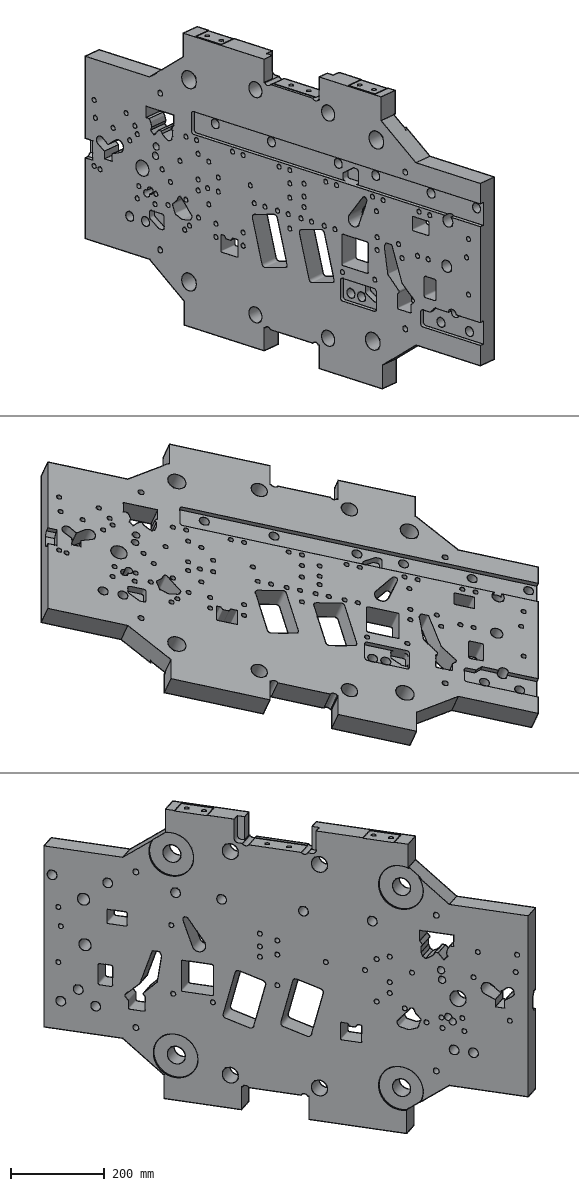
import cadquery as cq
import math

LENGTH = 1100.0
HEIGHT = 675.0
THICKNESS = 47.0
THROUGH = THICKNESS + 11.0
FRONT_Y = -THICKNESS / 2
BACK_Y = THICKNESS / 2
HALF_LENGTH = LENGTH / 2
HALF_HEIGHT = HEIGHT / 2

BODY_HALF_HEIGHT = 211.0
SHOULDER_X = 371.0
TAB_LEFT_X = -277.0
TAB_RIGHT_X = 274.0
TAB_ROOT_Z = 283.0

NOTCH_CENTER_X = 24.8
NOTCH_WIDTH = 153.0
NOTCH_FLOOR_Z = 284.0
RELIEF_RADIUS = 9.0
RELIEF_INSET = 10.0
RELIEF_RISE = 4.0
REBATE_WIDTH = 186.0
REBATE_DEPTH = 20.0
REBATE_FILLET = 9.0

PAD_DEPTH = 1.0
TAB_PAD_LIP = 4.0
NOTCH_PAD_LIP = 9.0
TAB_PADS = [(-245.0, -175.0), (179.0, 253.0)]
TAB_PAD_HOLE_INSET = 15.0
TAB_PAD_HOLE_SPACING = 40.0
NOTCH_PAD_HOLES_X = (0.0, 50.0)
NOTCH_PAD_HOLE_Y = 4.0
EDGE_HOLE_DIAMETER = 10.0
EDGE_HOLE_DEPTH = 22.0

CHANNEL_DEPTH = 10.0
CHANNEL_FILLET = 7.0
CHANNEL_LEFT_X = -254.0
CHANNEL_TOP_Z = 164.0
CHANNEL_BOTTOM_Z = 111.0
WEDGE_POCKET_DEPTH = 16.0
WEDGE_FILLET = 5.0

CORNER_HOLE_DIAMETER = 41.0
CORNER_SPOTFACE_DIAMETER = 101.0
CORNER_SPOTFACE_DEPTH = 4.0
TAB_HOLE_DIAMETER = 36.0
DOWEL_HOLE_DIAMETER = 28.0
BOLT_HOLE_DIAMETER = 22.0
MEDIUM_HOLE_DIAMETER = 16.0
BODY_HOLE_DIAMETER = 13.0
SMALL_HOLE_DIAMETER = 11.0
BLIND_HOLE_DEPTH = 22.0

CORNER_HOLES = [(-261.0, 234.0), (261.0, 234.0), (-261.0, -234.0), (251.0, -234.0)]
TAB_HOLES = [(x, z) for x in (-76.0, 126.0) for z in (-261.0, 261.0)]
BODY_HOLES = [(x, z) for x in (-341.0, 341.0) for z in (-182.0, 182.0)]
ROUND_WINDOW = [(-390.0, -5.0)]
DOWEL_HOLES = [(460.0, 100.0), (456.0, -5.0)]
BOLT_HOLES = [(x, 146.0) for x in (-196.0, -40.0, 146.0, 251.0, 405.0, 531.0)]
BOLT_HOLES += [(-426.0, -126.0), (-382.0, -126.0), (432.0, -145.0), (512.0, -145.0), (472.0, -112.0)]
MEDIUM_HOLES = [(-352.0, 55.0), (-354.0, 33.0), (-378.0, -60.0), (-368.0, -52.0)]
SMALL_THROUGH_HOLES = [
    (-525.0, 117.0), (-521.0, 76.0), (-436.0, 110.0), (-426.0, 50.0), (-508.0, -40.0),
    (-400.0, -50.0), (-405.0, -79.0), (-355.0, -79.0), (-353.0, -55.0), (-319.0, -72.0),
    (-286.0, 40.0), (-270.0, -46.0), (-235.0, 69.0), (-206.0, 59.0), (-235.0, 10.0),
    (-179.0, 30.0), (-235.0, -15.0), (-206.0, -40.0), (-90.0, 35.0),
    (20.0, 69.0), (20.0, 36.0), (20.0, -35.0), (59.0, 79.0), (59.0, 50.0), (59.0, 25.0),
    (261.0, 69.0), (256.0, -90.0), (166.0, -97.0), (517.0, 74.0), (512.0, 30.0), (517.0, -55.0),
]
SMALL_BLIND_HOLES = [
    (-411.0, 87.0), (-405.0, 69.0), (-472.0, 66.0), (-525.0, -36.0), (-335.0, 7.0),
    (-312.0, -16.0), (-260.0, -103.0), (-273.0, -117.0), (-234.0, -78.0),
    (-186.0, -79.0), (-186.0, -110.0), (-110.0, -79.0), (-110.0, -110.0),
    (263.0, 10.0), (263.0, -20.0), (322.0, 10.0), (332.0, -20.0),
]

PAIR_SPACING = 30.0
PAIR_PITCH = 130.0
UPPER_PAIRS_Z = 100.0
UPPER_PAIRS_START_X = -270.0
UPPER_PAIR_COUNT = 6
LOWER_PAIRS_Z = -3.0
LOWER_PAIRS_START_X = -209.0
LOWER_PAIR_STEPS = (0, 1, 1.5, 2, 2.5, 4.5)


def front_plane(depth=0.0):
    """Sketch plane parallel to the front face, the given depth behind it."""
    return cq.Workplane("XZ", origin=(0, FRONT_Y + depth, 0))


def front_polygon(points, depth, fillet=0.0, start_depth=0.0):
    """Straight-sided cutter sunk from the front, with rounded corners."""
    cutter = front_plane(start_depth).polyline(points).close().extrude(-depth)
    if fillet > 0:
        cutter = cutter.edges("|Y").fillet(fillet)
    return cutter


def front_rectangle(center, width, height, fillet, turn=0.0):
    """Through cutter with a rounded rectangular outline, turned about its center."""
    cutter = cq.Workplane("XY").box(width, THROUGH, height).edges("|Y").fillet(fillet)
    cutter = cutter.rotate((0, 0, 0), (0, 1, 0), -turn)
    return cutter.translate((center[0], 0, center[1]))


def front_holes(points, diameter, depth, start_depth=0.0):
    return front_plane(start_depth).pushPoints(points).circle(diameter / 2).extrude(-depth)


def tapered_slot(start, start_radius, end, end_radius):
    """Through cutter around two circles joined by their outer tangents."""
    dx = end[0] - start[0]
    dz = end[1] - start[1]
    heading = math.atan2(dz, dx)
    spread = math.acos((start_radius - end_radius) / math.hypot(dx, dz))

    def rim(center, radius, angle):
        return (center[0] + radius * math.cos(angle), center[1] + radius * math.sin(angle))

    left = heading + spread
    right = heading - spread
    return (
        front_plane()
        .moveTo(*rim(start, start_radius, left))
        .threePointArc(rim(start, start_radius, heading + math.pi), rim(start, start_radius, right))
        .lineTo(*rim(end, end_radius, right))
        .threePointArc(rim(end, end_radius, heading), rim(end, end_radius, left))
        .close()
        .extrude(-THROUGH)
    )


def box_between(x_range, y_range, z_range):
    size = [high - low for low, high in (x_range, y_range, z_range)]
    corner = [low for low, high in (x_range, y_range, z_range)]
    return cq.Workplane("XY").box(*size, centered=False).translate(tuple(corner))


def plate():
    upper_edge = [
        (-HALF_LENGTH, BODY_HALF_HEIGHT),
        (-SHOULDER_X, BODY_HALF_HEIGHT),
        (TAB_LEFT_X, TAB_ROOT_Z),
        (TAB_LEFT_X, HALF_HEIGHT),
        (TAB_RIGHT_X, HALF_HEIGHT),
        (TAB_RIGHT_X, TAB_ROOT_Z),
        (SHOULDER_X, BODY_HALF_HEIGHT),
        (HALF_LENGTH, BODY_HALF_HEIGHT),
    ]
    lower_edge = [(-x, -z) for x, z in upper_edge]
    return front_polygon(upper_edge + lower_edge, THICKNESS)


def notch():
    """Upper notch with round reliefs in its two floor corners."""
    half_width = NOTCH_WIDTH / 2
    left_x = NOTCH_CENTER_X - half_width
    right_x = NOTCH_CENTER_X + half_width
    cutter = box_between((left_x, right_x), (FRONT_Y, BACK_Y), (NOTCH_FLOOR_Z, HALF_HEIGHT))
    reliefs = [(x, NOTCH_FLOOR_Z + RELIEF_RISE) for x in (left_x + RELIEF_INSET, right_x - RELIEF_INSET)]
    return cutter.union(front_holes(reliefs, 2 * RELIEF_RADIUS, THICKNESS))


def notch_rebate():
    half_width = REBATE_WIDTH / 2
    cutter = box_between(
        (NOTCH_CENTER_X - half_width, NOTCH_CENTER_X + half_width),
        (BACK_Y - REBATE_DEPTH, BACK_Y),
        (NOTCH_FLOOR_Z, HALF_HEIGHT),
    )
    return cutter.edges("|Y and <Z").fillet(REBATE_FILLET)


def edge_pad(x_range, face_z, lip, holes_x, holes_y):
    """Shallow pad open to the back, with two blind holes going down."""
    pad = box_between(x_range, (FRONT_Y + lip, BACK_Y), (face_z - PAD_DEPTH, face_z))
    holes = (
        cq.Workplane("XY", origin=(0, 0, face_z))
        .pushPoints([(x, holes_y) for x in holes_x])
        .circle(EDGE_HOLE_DIAMETER / 2)
        .extrude(-EDGE_HOLE_DEPTH)
    )
    return pad.union(holes)


def edge_pads():
    half_width = NOTCH_WIDTH / 2 - RELIEF_INSET
    notch_range = (NOTCH_CENTER_X - half_width, NOTCH_CENTER_X + half_width)
    pads = edge_pad(notch_range, NOTCH_FLOOR_Z, NOTCH_PAD_LIP, NOTCH_PAD_HOLES_X, NOTCH_PAD_HOLE_Y)
    for x_range in TAB_PADS:
        first_hole = x_range[0] + TAB_PAD_HOLE_INSET
        holes_x = (first_hole, first_hole + TAB_PAD_HOLE_SPACING)
        pads = pads.union(edge_pad(x_range, HALF_HEIGHT, TAB_PAD_LIP, holes_x, 0.0))
    return pads


def long_channel():
    """Channel running out of the right end, with a wedge pocket in its floor."""
    channel = box_between(
        (CHANNEL_LEFT_X, HALF_LENGTH),
        (FRONT_Y, FRONT_Y + CHANNEL_DEPTH),
        (CHANNEL_BOTTOM_Z, CHANNEL_TOP_Z),
    ).edges("|Y and <X").fillet(CHANNEL_FILLET)
    wedge = [
        (160.0, CHANNEL_BOTTOM_Z), (160.0, 128.0), (188.0, 147.0),
        (202.0, 147.0), (202.0, CHANNEL_BOTTOM_Z),
    ]
    return channel.union(front_polygon(wedge, WEDGE_POCKET_DEPTH, WEDGE_FILLET, CHANNEL_DEPTH))


def short_channel():
    top_z = -111.0
    bottom_z = -164.0
    step_z = -124.0
    left_x = 384.0
    outline = [
        (left_x, bottom_z), (left_x, step_z), (410.0, step_z), (424.0, top_z),
        (HALF_LENGTH, top_z), (HALF_LENGTH, bottom_z),
    ]
    return front_polygon(outline, CHANNEL_DEPTH).edges("|Y and <X").fillet(CHANNEL_FILLET)


def stepped_pocket():
    """Rectangular pocket with a deeper wedge corner and two blind holes."""
    left_x, right_x = 161.0, 261.0
    top_z, bottom_z = -111.0, -164.0
    outline = [(left_x, top_z), (right_x, top_z), (right_x, bottom_z), (left_x, bottom_z)]
    wedge = [(222.0, top_z), (222.0, -133.0), (248.0, -147.0), (right_x, -147.0), (right_x, top_z)]
    holes = [(182.0, -145.0), (211.0, -145.0)]
    pocket = front_polygon(outline, CHANNEL_DEPTH, CHANNEL_FILLET)
    pocket = pocket.union(front_polygon(wedge, WEDGE_POCKET_DEPTH, WEDGE_FILLET, CHANNEL_DEPTH))
    return pocket.union(front_holes(holes, BOLT_HOLE_DIAMETER, BLIND_HOLE_DEPTH, CHANNEL_DEPTH))


def left_wedge_pocket():
    outline = [(-371.0, -97.0), (-330.0, -97.0), (-330.0, -133.0), (-344.0, -133.0), (-371.0, -115.0)]
    return front_polygon(outline, WEDGE_POCKET_DEPTH, WEDGE_FILLET)


def left_edge_pocket():
    """Small pocket open to the left end, its floor corners bevelled."""
    width = 21.0
    mouth_depth = 10.0
    floor_depth = 18.0
    profile = [
        (FRONT_Y, 21.0), (FRONT_Y + mouth_depth, 21.0), (FRONT_Y + floor_depth, 11.0),
        (FRONT_Y + floor_depth, -16.0), (FRONT_Y + mouth_depth, -24.0), (FRONT_Y, -24.0),
    ]
    return cq.Workplane("YZ", origin=(-HALF_LENGTH, 0, 0)).polyline(profile).close().extrude(width)


def forked_window():
    """Two round-ended arms meeting above a square stem."""
    junction = (-486.0, 11.0)
    arm_radius = 10.0
    left_arm = tapered_slot((-507.0, 26.0), 11.0, junction, arm_radius)
    right_arm = tapered_slot((-458.0, 28.0), 14.0, junction, arm_radius)
    stem = box_between((-496.0, -475.0), (FRONT_Y, BACK_Y), (-12.0, junction[1]))
    return left_arm.union(right_arm).union(stem)


def shaped_windows():
    scalloped = [
        (-381.0, 141.0), (-304.0, 141.0), (-304.0, 117.0), (-310.0, 108.0), (-307.0, 103.0), (-307.0, 90.0),
        (-310.0, 81.0), (-317.0, 77.0), (-326.0, 81.0), (-335.0, 89.0), (-338.0, 95.0), (-345.0, 95.0),
        (-359.0, 80.0), (-367.0, 89.0), (-364.0, 97.0), (-367.0, 108.0), (-372.0, 114.0), (-381.0, 114.0),
    ]
    kite = [
        (-287.0, -40.0), (-251.0, -80.0), (-257.0, -90.0), (-279.0, -95.0),
        (-299.0, -87.0), (-307.0, -66.0), (-295.0, -55.0),
    ]
    crowned = [
        (-172.0, -100.0), (-163.0, -100.0), (-157.0, -107.0), (-144.0, -107.0),
        (-140.0, -100.0), (-124.0, -100.0), (-124.0, -141.0), (-172.0, -141.0),
    ]
    leg = [
        (287.0, 3.0), (304.0, 3.0), (332.0, -78.0), (367.0, -110.0), (358.0, -121.0), (358.0, -141.0),
        (320.0, -141.0), (320.0, -106.0), (326.0, -100.0), (293.0, -68.0), (283.0, -5.0),
    ]
    windows = front_polygon(scalloped, THROUGH)
    for outline, fillet in ((kite, 4.0), (crowned, 2.0), (leg, 3.0)):
        windows = windows.union(front_polygon(outline, THROUGH, fillet))
    return windows


def rectangular_windows():
    windows = front_rectangle((201.0, -45.0), 73.0, 73.0, 3.0)
    windows = windows.union(front_rectangle((384.0, 68.0), 46.0, 33.0, 3.0))
    windows = windows.union(front_rectangle((410.0, -69.0), 33.0, 50.0, 4.0))
    for center_x in (-36.0, 95.0):
        windows = windows.union(front_rectangle((center_x, -79.0), 72.0, 119.0, 8.0, turn=15.0))
    return windows


def through_holes():
    groups = [
        (CORNER_HOLES, CORNER_HOLE_DIAMETER),
        (TAB_HOLES, TAB_HOLE_DIAMETER),
        (ROUND_WINDOW, TAB_HOLE_DIAMETER),
        (DOWEL_HOLES, DOWEL_HOLE_DIAMETER),
        (BOLT_HOLES, BOLT_HOLE_DIAMETER),
        (MEDIUM_HOLES, MEDIUM_HOLE_DIAMETER),
        (BODY_HOLES, BODY_HOLE_DIAMETER),
        (SMALL_THROUGH_HOLES, SMALL_HOLE_DIAMETER),
    ]
    return [front_holes(points, diameter, THROUGH) for points, diameter in groups]


def blind_holes():
    upper_starts = [UPPER_PAIRS_START_X + PAIR_PITCH * i for i in range(UPPER_PAIR_COUNT)]
    lower_starts = [LOWER_PAIRS_START_X + PAIR_PITCH * step for step in LOWER_PAIR_STEPS]
    points = list(SMALL_BLIND_HOLES)
    for starts, z in ((upper_starts, UPPER_PAIRS_Z), (lower_starts, LOWER_PAIRS_Z)):
        for x in starts:
            points += [(x, z), (x + PAIR_SPACING, z)]
    return front_holes(points, SMALL_HOLE_DIAMETER, BLIND_HOLE_DEPTH)


def corner_spotfaces():
    """Shallow rear spotfaces around the corner holes."""
    start_depth = THICKNESS - CORNER_SPOTFACE_DEPTH
    return front_holes(CORNER_HOLES, CORNER_SPOTFACE_DIAMETER, CORNER_SPOTFACE_DEPTH, start_depth)


upper_notch = notch()
cutters = [
    upper_notch,
    upper_notch.mirror("XY"),
    notch_rebate(),
    edge_pads(),
    long_channel(),
    short_channel(),
    stepped_pocket(),
    left_wedge_pocket(),
    left_edge_pocket(),
    forked_window(),
    tapered_slot((228.0, 87.0), 7.0, (198.0, 32.0), 15.0),
    shaped_windows(),
    rectangular_windows(),
    corner_spotfaces(),
    blind_holes(),
] + through_holes()

result = plate()
for cutter in cutters:
    result = result.cut(cutter)